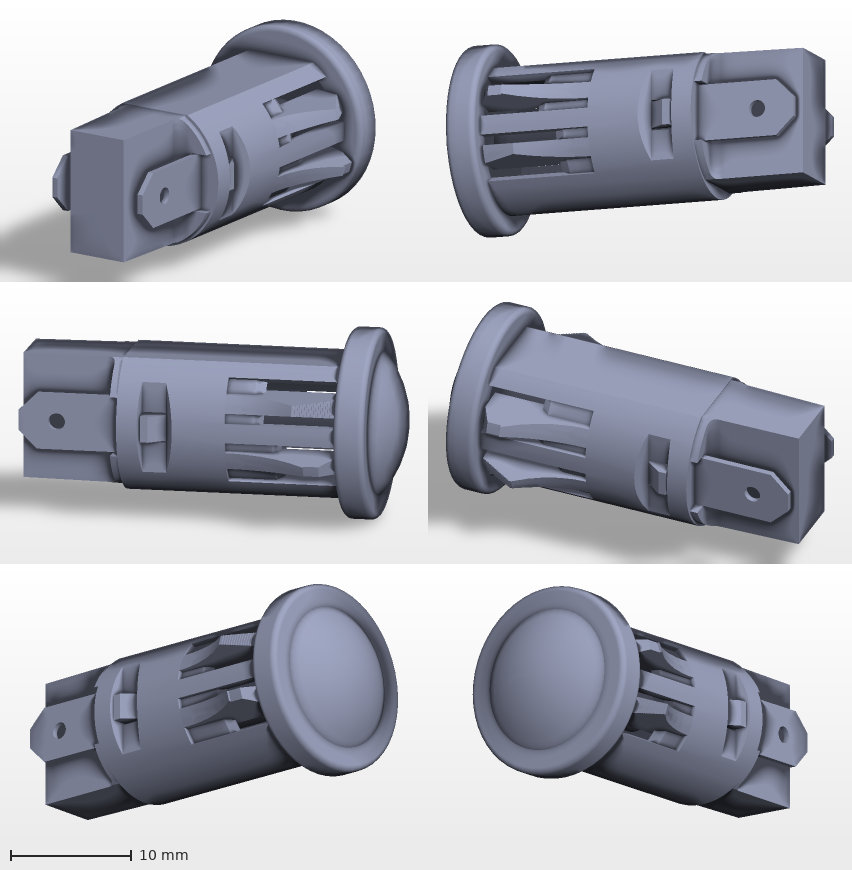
import cadquery as cq
import math


bezel_radius = 7.985
bezel_depth = 2.55
bezel_fillet = 0.48
head_radius = 7.2
head_depth = 0.65
lens_radius = 6.0
lens_rise = 2.2
lamp_radius = 2.0
lamp_shoulder_y = -0.77

barrel_radius = 6.35
bore_radius = 5.45
barrel_top_z = 5.45
bore_top_z = 4.95
barrel_end_y = -18.63
rear_bore_half_width = 4.75

slot_end_y = -9.47
slot_low_z = 0.8
slot_high_z = 4.42
slot_wall_angle = 30.0
slot_floor_radius = 5.92
ratchet_floor_y = (-6.35, -7.17)
hook_floor_y = (-4.8, -5.5)

finger_front_y = -0.22
finger_inner_radius = 5.0
finger_root_depth = 0.32
finger_root_radius = 5.6
finger_front_radius = 6.55
wedge_inner_x = 3.2
wedge_inner_z = (1.0, 3.33)
wedge_outer_x = 8.65
wedge_outer_z = (2.27, 2.9)
hook_shoulder_radius = 8.2
hook_shoulder_y = -1.22
hook_tip_radius = 8.42
hook_tip_y = -2.45
hook_arc_middle = (7.35, -4.42)
ratchet_radius = 8.25
ratchet_steps = 17
ratchet_step_length = 0.175
ratchet_land = 0.3
ratchet_arc_middle = (7.05, -5.83)

window_floor_x = 5.05
window_slope_start_y = -13.92
window_front_y = -14.65
window_rear_y = -16.65
window_slope_end_y = -16.9
latch_hole_half_height = 1.28
barb_half_height = 1.1
barb_tip_x = 6.1
barb_ramp_end_y = -16.0

flange_radius = 6.1
flange_depth = 0.67
block_half_height = 5.35
block_tip_half_height = 5.28
block_half_width = 2.82
block_tip_half_width = 2.65
block_end_y = -27.2
block_fillet = 0.8
notch_half_height = 2.5

terminal_outer_x = 4.58
terminal_thickness = 0.5
terminal_half_height = 2.37
terminal_tip_half_height = 0.83
terminal_tip_length = 1.57
terminal_hole_diameter = 1.4
terminal_hole_to_tip = 3.23
left_terminal_end_y = -27.08
right_terminal_end_y = -27.25

flange_end_y = barrel_end_y - flange_depth
root_end_y = slot_end_y - finger_root_depth
terminal_inner_x = terminal_outer_x - terminal_thickness
large = 2 * bezel_radius


def along_y(radius, start_y, end_y):
    """Cylinder on the Y axis."""
    return cq.Workplane("XZ", origin=(0, start_y, 0)).circle(radius).extrude(start_y - end_y)


def block(x_range, y_range, z_range):
    """Box between the given limits."""
    sizes = [high - low for low, high in (x_range, y_range, z_range)]
    corner = (x_range[0], y_range[0], z_range[0])
    return cq.Workplane("XY", origin=corner).box(*sizes, centered=False)


def half_turn(body):
    """Copy of a body turned to the opposite side of the Y axis."""
    return body.rotate((0, 0, 0), (0, 1, 0), 180)


def revolved(outline):
    """Turn a closed radius/Y outline about the Y axis."""
    return outline.close().revolve(360, (0, 0, 0), (0, 1, 0))


def make_lamp():
    """Round lamp with a domed front, standing on the plug of the base."""
    body = along_y(lamp_radius, lamp_shoulder_y, slot_end_y)
    dome = cq.Workplane("XY", origin=(0, lamp_shoulder_y, 0)).sphere(lamp_radius)
    return body.union(dome)


def make_bezel():
    """Rounded ring bored for the lens and recessed from behind for the head of the housing."""
    ring = along_y(bezel_radius, bezel_depth, 0).edges().fillet(bezel_fillet)
    ring = ring.cut(along_y(lens_radius, bezel_depth, 0))
    return ring.cut(along_y(head_radius, head_depth, 0))


def make_lens(lamp):
    """Domed disc with a pocket that clears the tip of the lamp."""
    dome_mid_angle = math.atan(lens_rise / lens_radius)
    sphere_radius = lens_radius / math.sin(2 * dome_mid_angle)
    dome_top_y = bezel_depth + lens_rise
    arc_middle = (
        sphere_radius * math.sin(dome_mid_angle),
        dome_top_y - sphere_radius * (1 - math.cos(dome_mid_angle)),
    )
    outline = (
        cq.Workplane("XY")
        .moveTo(0, head_depth)
        .lineTo(lens_radius, head_depth)
        .lineTo(lens_radius, bezel_depth)
        .threePointArc(arc_middle, (0, dome_top_y))
    )
    return revolved(outline).cut(lamp)


def finger_wedge():
    """Prism that gives a finger its converging upper and lower flanks."""
    return (
        cq.Workplane("XZ")
        .moveTo(wedge_inner_x, wedge_inner_z[0])
        .lineTo(wedge_outer_x, wedge_outer_z[0])
        .lineTo(wedge_outer_x, wedge_outer_z[1])
        .lineTo(wedge_inner_x, wedge_inner_z[1])
        .close()
        .extrude(-root_end_y)
    )


def finger_start():
    """First side of a finger outline: the root buried in the barrel wall, then the inner face."""
    return (
        cq.Workplane("XY")
        .moveTo(finger_root_radius, root_end_y)
        .lineTo(finger_root_radius, slot_end_y)
        .lineTo(finger_inner_radius, slot_end_y)
        .lineTo(finger_inner_radius, finger_front_y)
        .lineTo(finger_front_radius, finger_front_y)
    )


def make_hook_finger():
    """Finger with one lead-in ramp and a single hooked tooth."""
    outline = (
        finger_start()
        .lineTo(hook_shoulder_radius, hook_shoulder_y)
        .lineTo(hook_shoulder_radius, hook_tip_y)
        .lineTo(hook_tip_radius, hook_tip_y)
        .threePointArc(hook_arc_middle, (barrel_radius, slot_end_y))
        .lineTo(slot_floor_radius, root_end_y)
    )
    return revolved(outline).intersect(finger_wedge())


def make_ratchet_finger():
    """Finger whose lead-in ramp is a flight of small steps."""
    step_rise = (ratchet_radius - finger_front_radius) / ratchet_steps
    outline = finger_start()
    for step in range(ratchet_steps):
        radius = finger_front_radius + step * step_rise
        ledge_y = finger_front_y - (step + 1) * ratchet_step_length
        outline = outline.lineTo(radius, ledge_y)
        outline = outline.lineTo(radius + step_rise, ledge_y)
    land_end_y = finger_front_y - ratchet_steps * ratchet_step_length - ratchet_land
    outline = outline.lineTo(ratchet_radius, land_end_y)
    outline = outline.threePointArc(ratchet_arc_middle, (barrel_radius, slot_end_y))
    outline = outline.lineTo(slot_floor_radius, root_end_y)
    return revolved(outline).intersect(finger_wedge())


def make_slot(floor_y):
    """Through slot in the +X +Z quarter that ramps up to a shallow pocket near its closed end."""
    ramp_front_y, ramp_rear_y = floor_y
    slope = math.tan(math.radians(slot_wall_angle))
    edge_x = math.sqrt(barrel_radius**2 - slot_high_z**2)
    low_x = edge_x - (slot_high_z - slot_low_z) / slope
    slot = (
        cq.Workplane("XZ")
        .moveTo(low_x, slot_low_z)
        .lineTo(large, slot_low_z)
        .lineTo(large, slot_high_z + (large - edge_x) * slope)
        .close()
        .extrude(-slot_end_y)
    )
    floor = revolved(
        cq.Workplane("XY")
        .moveTo(0, slot_end_y)
        .lineTo(slot_floor_radius, slot_end_y)
        .lineTo(slot_floor_radius, ramp_rear_y)
        .lineTo(bore_radius, ramp_front_y)
        .lineTo(0, ramp_front_y)
    )
    return slot.cut(floor)


def make_rear_bore():
    """Flat-sided bore that holds the plug of the base."""
    limits = block(
        (-rear_bore_half_width, rear_bore_half_width),
        (barrel_end_y, slot_end_y),
        (-large, bore_top_z),
    )
    return along_y(bore_radius, slot_end_y, barrel_end_y).intersect(limits)


def make_window():
    """Flat-floored side notch with sloped ends, and the latch hole through its floor, on the +X side."""
    slope_run = barrel_radius - window_floor_x
    front_slope = (window_slope_start_y - window_front_y) / slope_run
    rear_slope = (window_rear_y - window_slope_end_y) / slope_run
    reach = large - window_floor_x
    notch = (
        cq.Workplane("XY")
        .moveTo(window_floor_x, window_front_y)
        .lineTo(large, window_front_y + front_slope * reach)
        .lineTo(large, window_rear_y - rear_slope * reach)
        .lineTo(window_floor_x, window_rear_y)
        .close()
        .extrude(large, both=True)
    )
    hole = block(
        (0, window_floor_x),
        (window_rear_y, window_front_y),
        (-latch_hole_half_height, latch_hole_half_height),
    )
    return notch.union(hole)


def make_housing():
    """Barrel with a flat top, a head disc, four slots with spring fingers and two latch windows."""
    below_flat = block((-large, large), (barrel_end_y, head_depth), (-large, barrel_top_z))
    barrel = along_y(barrel_radius, head_depth, barrel_end_y).intersect(below_flat)
    housing = barrel.union(along_y(head_radius, head_depth, 0))

    below_roof = block((-large, large), (slot_end_y, head_depth), (-large, bore_top_z))
    housing = housing.cut(along_y(bore_radius, head_depth, slot_end_y).intersect(below_roof))
    housing = housing.cut(make_rear_bore())

    ratchet_slot = make_slot(ratchet_floor_y)
    hook_slot = make_slot(hook_floor_y).mirror("YZ")
    ratchet_finger = make_ratchet_finger()
    hook_finger = make_hook_finger().mirror("YZ")
    for slot in (ratchet_slot, hook_slot):
        housing = housing.cut(slot).cut(half_turn(slot))
    for finger in (ratchet_finger, hook_finger):
        housing = housing.union(finger).union(half_turn(finger))

    window = make_window()
    return housing.cut(window).cut(half_turn(window))


def make_terminal(end_y):
    """Flat tab on the +X side with a tapered tip and a round hole, rooted in the base."""
    shoulder_y = end_y + terminal_tip_length
    tab = (
        cq.Workplane("YZ", origin=(terminal_inner_x, 0, 0))
        .moveTo(barrel_end_y, -terminal_half_height)
        .lineTo(shoulder_y, -terminal_half_height)
        .lineTo(end_y, -terminal_tip_half_height)
        .lineTo(end_y, terminal_tip_half_height)
        .lineTo(shoulder_y, terminal_half_height)
        .lineTo(barrel_end_y, terminal_half_height)
        .close()
        .extrude(terminal_thickness)
    )
    hole = (
        cq.Workplane("YZ", origin=(terminal_inner_x, 0, 0))
        .center(end_y + terminal_hole_to_tip, 0)
        .circle(terminal_hole_diameter / 2)
        .extrude(terminal_thickness)
    )
    return tab.cut(hole)


def make_barb():
    """Snap barb on the +X side of the plug."""
    return (
        cq.Workplane("XY")
        .moveTo(0, window_front_y)
        .lineTo(window_floor_x, window_front_y)
        .lineTo(barb_tip_x, barb_ramp_end_y)
        .lineTo(barb_tip_x, window_rear_y)
        .lineTo(0, window_rear_y)
        .close()
        .extrude(barb_half_height, both=True)
    )


def make_flange_and_block():
    """Flange and tapered block, joined by fillets along the wide sides of the block."""
    fillet_end_y = flange_end_y - block_fillet
    arc_inset = block_fillet * (1 - math.sqrt(0.5))
    plan = (
        cq.Workplane("XY")
        .moveTo(0, barrel_end_y)
        .lineTo(flange_radius, barrel_end_y)
        .lineTo(flange_radius, flange_end_y)
        .lineTo(block_half_width + block_fillet, flange_end_y)
        .threePointArc(
            (block_half_width + arc_inset, flange_end_y - arc_inset),
            (block_half_width, fillet_end_y),
        )
        .lineTo(block_tip_half_width, block_end_y)
        .lineTo(0, block_end_y)
        .mirrorY()
        .extrude(large, both=True)
    )
    side = (
        cq.Workplane("YZ")
        .moveTo(barrel_end_y, 0)
        .lineTo(barrel_end_y, block_half_height)
        .lineTo(block_end_y, block_tip_half_height)
        .lineTo(block_end_y, 0)
        .mirrorX()
        .extrude(large, both=True)
    )
    return along_y(flange_radius, barrel_end_y, block_end_y).intersect(plan).intersect(side)


def make_base():
    """Flange and block with terminal notches, plus a plug with two barbs inside the housing."""
    base = make_flange_and_block()
    notch = block(
        (terminal_inner_x, large),
        (flange_end_y, barrel_end_y),
        (-notch_half_height, notch_half_height),
    )
    barb = make_barb()
    base = base.cut(notch).cut(half_turn(notch))
    return base.union(make_rear_bore()).union(barb).union(half_turn(barb))


lamp = make_lamp()
bezel = make_bezel()
lens = make_lens(lamp)
housing = make_housing()
base = make_base()
terminals = [make_terminal(right_terminal_end_y), half_turn(make_terminal(left_terminal_end_y))]

result = cq.Compound.makeCompound(
    [
        bezel.val(),
        lens.val(),
        lamp.val(),
        housing.val(),
        base.val(),
        *[terminal.val() for terminal in terminals],
    ]
)